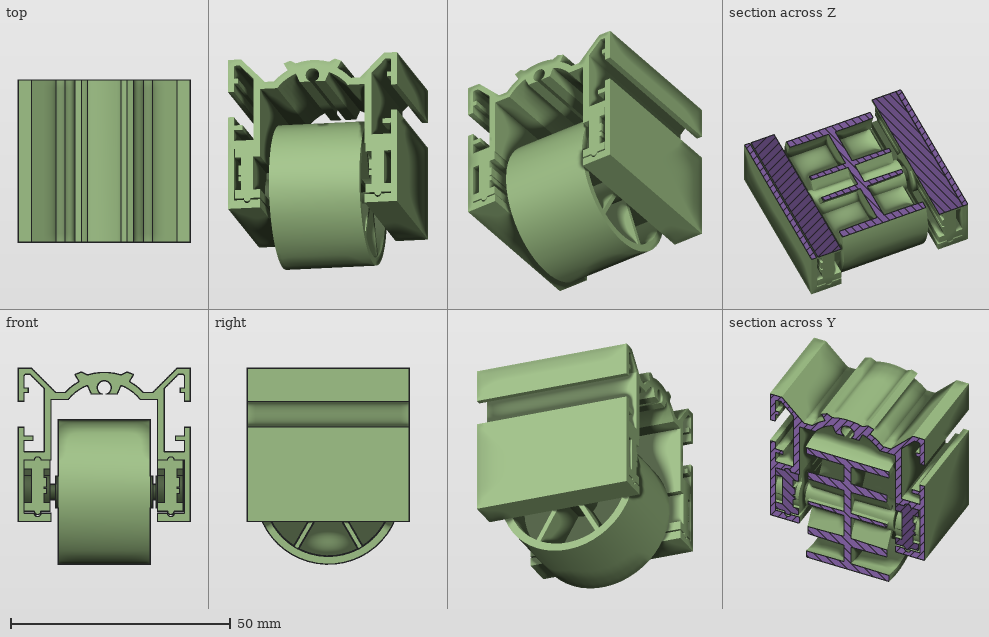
import cadquery as cq
import math


LENGTH = 37.0
WIDTH = 39.2
HALF_WIDTH = WIDTH / 2
TOP_Z = 28.2
BOTTOM_Z = -6.75
WALL_INNER_X = 18.25
WEB_THICKNESS = 1.6
WEB_INNER_X = 12.1
WEB_OUTER_X = WEB_INNER_X + WEB_THICKNESS
LIP_BOTTOM_Z = 20.65
LOWER_WALL_TOP_Z = 14.75
SHELF_TOP_Z = 9.15
SHELF_BOTTOM_Z = 7.25
FOOT_TOP_Z = -4.83
CHANNEL_TOP_Z = 26.78
CHANNEL_TOP_X = 16.9
CHANNEL_CORNER_RADIUS = 0.35
RIM_INNER_X = 16.6
TOOTH_THICKNESS = 1.1
UPPER_TOOTH_TOP_Z = 23.75
UPPER_TOOTH_TIP_X = 17.3
LOWER_TOOTH_TOP_Z = 12.8
LOWER_TOOTH_TIP_X = 16.23
VALLEY_TOP_Z = 22.65
VALLEY_BOTTOM_Z = VALLEY_TOP_Z - WEB_THICKNESS

ARCH_CENTER_Z = 14.5
ARCH_INNER_RADIUS = 10.5
ARCH_OUTER_RADIUS = ARCH_INNER_RADIUS + WEB_THICKNESS
CROWN_RADIUS = 12.8
TAB_ROOT_X = 5.75
TAB_TIP = (6.7, 26.78)
TAB_TOP = (5.2, 27.35)
TAB_INNER_X = 3.85
PORT_SHOULDER_X = 3.85
PORT_BOTTOM_X = 2.95
PORT_BOTTOM_Z = 22.25
PORT_RADIUS = 1.55
PORT_GAP_HALF = 0.45

BLOCK_WIDTH = 5.9
BLOCK_TOP_Z = SHELF_BOTTOM_Z
BLOCK_BOTTOM_Z = -4.43
BEAD_RADIUS = 0.75
BEAD_X = (WALL_INNER_X + WEB_INNER_X) / 2
POCKET_TOP_Z = 5.25
POCKET_BOTTOM_Z = -2.45
LEFT_POCKET_DEPTH = 1.65
RIGHT_POCKET_DEPTH = 1.4
BOSS_RADIUS = 4.55
BOSS_RIB_WIDTH = 5.27
PAD_HEIGHT = 0.55
PAD_SPANS = ((1.1, 3.25), (-0.35, 0.75))
LEFT_BLOCK_X = -WALL_INNER_X
RIGHT_BLOCK_X = WEB_INNER_X
BLOCK_PLACES = ((LEFT_BLOCK_X, -BEAD_X), (RIGHT_BLOCK_X, BEAD_X))

WHEEL_RADIUS = 16.5
WHEEL_WIDTH = 21.0
RIM_THICKNESS = 1.8
RIM_INNER_RADIUS = WHEEL_RADIUS - RIM_THICKNESS
HUB_RADIUS = 3.65
HUB_OVERHANG = 0.6
DISC_THICKNESS = 1.8
RIB_COUNT = 6
RIB_TOP_THICKNESS = 1.07
RIB_ROOT_THICKNESS = 1.35
RIM_DRAFT = 0.15
RIB_SETBACK = 0.45

AXLE_RADIUS = 1.8
FLANGE_RADIUS = HUB_RADIUS
FLANGE_THICKNESS = 0.35


def x_cylinder(radius, x_start, x_end):
    """A cylinder around the X axis."""
    return cq.Workplane("YZ", origin=(x_start, 0, 0)).circle(radius).extrude(x_end - x_start)


def y_prism(x_start, x_end, z_start, z_end, length=LENGTH):
    """A box between two X and two Z positions, centred on Y = 0."""
    middle = ((x_start + x_end) / 2, 0, (z_start + z_end) / 2)
    return cq.Workplane("XY").box(x_end - x_start, length, z_end - z_start).translate(middle)


def y_rod(radius, x, z):
    """A round rod along the whole length of the track."""
    return cq.Workplane("XZ", origin=(x, 0, z)).circle(radius).extrude(LENGTH / 2, both=True)


def on_arc(radius, x):
    """Point of a roof arc at the given X."""
    return (x, ARCH_CENTER_Z + math.sqrt(radius**2 - x**2))


def arc_x(radius, z):
    """X where a roof arc reaches the given height."""
    return math.sqrt(radius**2 - (z - ARCH_CENTER_Z) ** 2)


def half_track():
    """The +X half of the track, without the screw port bore and bead grooves."""
    valley_x = RIM_INNER_X - (TOP_Z - VALLEY_TOP_Z)
    outer_foot_x = arc_x(ARCH_OUTER_RADIUS, VALLEY_TOP_Z)
    inner_foot_x = arc_x(ARCH_INNER_RADIUS, VALLEY_BOTTOM_Z)
    return (
        cq.Workplane("XZ")
        .moveTo(0, ARCH_CENTER_Z + CROWN_RADIUS)
        .threePointArc(on_arc(CROWN_RADIUS, TAB_INNER_X / 2), on_arc(CROWN_RADIUS, TAB_INNER_X))
        .lineTo(*TAB_TOP)
        .lineTo(*TAB_TIP)
        .lineTo(*on_arc(ARCH_OUTER_RADIUS, TAB_ROOT_X))
        .threePointArc(
            on_arc(ARCH_OUTER_RADIUS, (TAB_ROOT_X + outer_foot_x) / 2),
            (outer_foot_x, VALLEY_TOP_Z),
        )
        .lineTo(valley_x, VALLEY_TOP_Z)
        .lineTo(RIM_INNER_X, TOP_Z)
        .lineTo(HALF_WIDTH, TOP_Z)
        .lineTo(HALF_WIDTH, LIP_BOTTOM_Z)
        .lineTo(WALL_INNER_X, LIP_BOTTOM_Z)
        .lineTo(WALL_INNER_X, UPPER_TOOTH_TOP_Z - TOOTH_THICKNESS)
        .lineTo(UPPER_TOOTH_TIP_X, UPPER_TOOTH_TOP_Z - TOOTH_THICKNESS)
        .lineTo(UPPER_TOOTH_TIP_X, UPPER_TOOTH_TOP_Z)
        .lineTo(WALL_INNER_X, UPPER_TOOTH_TOP_Z)
        .lineTo(WALL_INNER_X, CHANNEL_TOP_Z - CHANNEL_CORNER_RADIUS)
        .radiusArc(
            (WALL_INNER_X - CHANNEL_CORNER_RADIUS, CHANNEL_TOP_Z), -CHANNEL_CORNER_RADIUS
        )
        .lineTo(CHANNEL_TOP_X, CHANNEL_TOP_Z)
        .lineTo(WEB_OUTER_X, CHANNEL_TOP_Z - (CHANNEL_TOP_X - WEB_OUTER_X))
        .lineTo(WEB_OUTER_X, SHELF_TOP_Z)
        .lineTo(WALL_INNER_X, SHELF_TOP_Z)
        .lineTo(WALL_INNER_X, LOWER_TOOTH_TOP_Z - TOOTH_THICKNESS)
        .lineTo(LOWER_TOOTH_TIP_X, LOWER_TOOTH_TOP_Z - TOOTH_THICKNESS)
        .lineTo(LOWER_TOOTH_TIP_X, LOWER_TOOTH_TOP_Z)
        .lineTo(WALL_INNER_X, LOWER_TOOTH_TOP_Z)
        .lineTo(WALL_INNER_X, LOWER_WALL_TOP_Z)
        .lineTo(HALF_WIDTH, LOWER_WALL_TOP_Z)
        .lineTo(HALF_WIDTH, BOTTOM_Z)
        .lineTo(WEB_INNER_X, BOTTOM_Z)
        .lineTo(WEB_INNER_X, FOOT_TOP_Z)
        .lineTo(WALL_INNER_X, FOOT_TOP_Z)
        .lineTo(WALL_INNER_X, SHELF_BOTTOM_Z)
        .lineTo(WEB_INNER_X, SHELF_BOTTOM_Z)
        .lineTo(WEB_INNER_X, VALLEY_BOTTOM_Z)
        .lineTo(inner_foot_x, VALLEY_BOTTOM_Z)
        .threePointArc(
            on_arc(ARCH_INNER_RADIUS, (inner_foot_x + PORT_SHOULDER_X) / 2),
            on_arc(ARCH_INNER_RADIUS, PORT_SHOULDER_X),
        )
        .lineTo(PORT_BOTTOM_X, PORT_BOTTOM_Z)
        .lineTo(0, PORT_BOTTOM_Z)
        .close()
        .extrude(LENGTH / 2, both=True)
    )


def make_track():
    half = half_track()
    track = half.union(half.mirror("YZ"))
    port_z = PORT_BOTTOM_Z + math.sqrt(PORT_RADIUS**2 - PORT_GAP_HALF**2)
    track = track.cut(y_rod(PORT_RADIUS, 0, port_z))
    for x in (-BEAD_X, BEAD_X):
        for z in (SHELF_BOTTOM_Z, FOOT_TOP_Z):
            track = track.cut(y_rod(BEAD_RADIUS, x, z))
    return track


def make_block(left_x, bead_x):
    """An I-shaped bearing block with its -X face at left_x and its beads at bead_x."""
    right_x = left_x + BLOCK_WIDTH
    web_left_x = left_x + LEFT_POCKET_DEPTH
    web_right_x = right_x - RIGHT_POCKET_DEPTH
    block = y_prism(left_x, right_x, BLOCK_BOTTOM_Z, BLOCK_TOP_Z)
    for z in (BLOCK_BOTTOM_Z, BLOCK_TOP_Z):
        block = block.union(y_rod(BEAD_RADIUS, bead_x, z))
    block = block.cut(y_prism(left_x, web_left_x, POCKET_BOTTOM_Z, POCKET_TOP_Z))
    block = block.cut(y_prism(web_right_x, right_x, POCKET_BOTTOM_Z, POCKET_TOP_Z))
    for z_start, z_end in PAD_SPANS:
        block = block.union(y_prism(web_right_x, web_right_x + PAD_HEIGHT, z_start, z_end))
    boss = x_cylinder(BOSS_RADIUS, left_x, right_x)
    block = block.union(boss.intersect(y_prism(left_x, right_x, BLOCK_BOTTOM_Z, BLOCK_TOP_Z)))
    block = block.union(y_prism(left_x, right_x, 0, POCKET_TOP_Z, BOSS_RIB_WIDTH))
    return block.cut(x_cylinder(AXLE_RADIUS, left_x, right_x))


def make_recess(side):
    """The round recess in one wheel face (side = 1 or -1), narrowing towards the disc."""
    face_x = side * WHEEL_WIDTH / 2
    disc_x = side * DISC_THICKNESS / 2
    return (
        cq.Workplane("XY")
        .polyline(
            [
                (face_x, 0),
                (face_x, RIM_INNER_RADIUS),
                (disc_x, RIM_INNER_RADIUS - RIM_DRAFT),
                (disc_x, 0),
            ]
        )
        .close()
        .revolve(360, (0, 0, 0), (1, 0, 0))
    )


def make_rib(side, angle):
    """A drafted rib from the axle out to the rim, standing on one side of the disc."""
    top_x = side * (WHEEL_WIDTH / 2 - RIB_SETBACK)
    disc_x = side * DISC_THICKNESS / 2
    rib = (
        cq.Workplane("XZ")
        .polyline(
            [
                (disc_x, -RIB_ROOT_THICKNESS / 2),
                (top_x, -RIB_TOP_THICKNESS / 2),
                (top_x, RIB_TOP_THICKNESS / 2),
                (disc_x, RIB_ROOT_THICKNESS / 2),
            ]
        )
        .close()
        .extrude(WHEEL_RADIUS)
    )
    return rib.rotate((0, 0, 0), (1, 0, 0), angle)


def make_wheel():
    half_width = WHEEL_WIDTH / 2
    hub_end = half_width + HUB_OVERHANG
    wheel = x_cylinder(WHEEL_RADIUS, -half_width, half_width)
    for side in (-1, 1):
        recess = make_recess(side)
        wheel = wheel.cut(recess)
        for i in range(RIB_COUNT):
            wheel = wheel.union(make_rib(side, i * 360 / RIB_COUNT).intersect(recess))
    wheel = wheel.union(x_cylinder(HUB_RADIUS, -hub_end, hub_end))
    return wheel.cut(x_cylinder(AXLE_RADIUS, -hub_end, hub_end))


def make_axle():
    """Shaft through both blocks and the wheel, with a flange against the +X block."""
    shaft = x_cylinder(AXLE_RADIUS, LEFT_BLOCK_X, RIGHT_BLOCK_X + BLOCK_WIDTH)
    return shaft.union(x_cylinder(FLANGE_RADIUS, RIGHT_BLOCK_X - FLANGE_THICKNESS, RIGHT_BLOCK_X))


track = make_track()
blocks = [make_block(left_x, bead_x) for left_x, bead_x in BLOCK_PLACES]
wheel = make_wheel()
axle = make_axle()

result = cq.Compound.makeCompound(
    [track.val(), *[block.val() for block in blocks], wheel.val(), axle.val()]
)